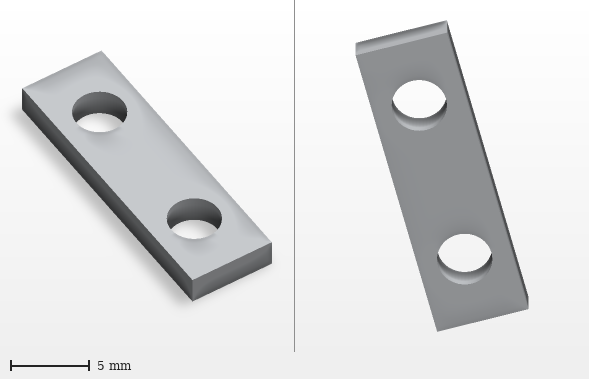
import cadquery as cq

length = 19.8
width = 6.0
thickness = 2.0

hole_diameter = 3.5
hole_spacing = 11.0

plate = cq.Workplane("XY").box(length, width, thickness)

result = (
    plate.faces(">Z")
    .workplane()
    .rarray(hole_spacing, width, 2, 1)
    .hole(hole_diameter)
)